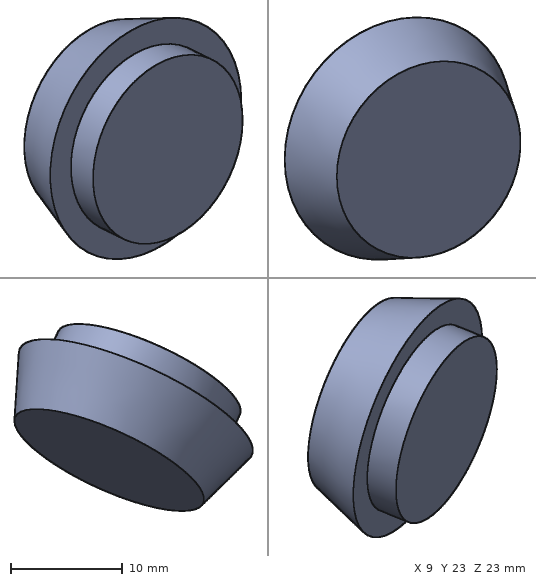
import cadquery as cq
import math

rim_diameter = 23.0
head_length = 6.0
taper_angle = 20.0

boss_diameter = 18.0
boss_length = 3.0

rim_radius = rim_diameter / 2
face_radius = rim_radius - head_length * math.tan(math.radians(taper_angle))
boss_radius = boss_diameter / 2
total_length = head_length + boss_length

half_section = (
    cq.Workplane("XY")
    .lineTo(0, face_radius)
    .lineTo(head_length, rim_radius)
    .lineTo(head_length, boss_radius)
    .lineTo(total_length, boss_radius)
    .lineTo(total_length, 0)
    .close()
)
result = half_section.revolve(360, (0, 0, 0), (1, 0, 0))